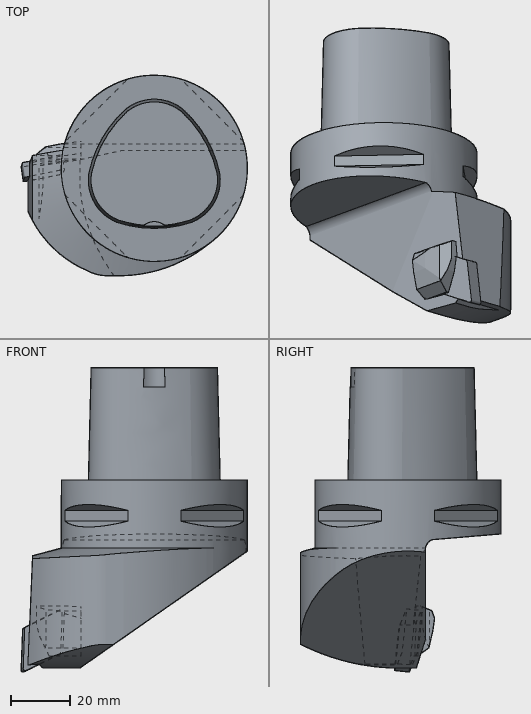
import cadquery as cq
import math


flange_radius = 63.0 / 2
flange_height = 23.1

shank_height = 37.9
shank_lean = 0.9
lobe_radius = 23.4
flat_radius = 20.34
joint_radius = 22.2
lobe_half_angle = 25.2
lobe_count = 3

notch_radius = 5.5
notch_depth = 6.5
notch_crest_y = -18.0

slot_count = 4
slot_floor_distance = 27.7
slot_floor_width = 3.6
slot_mouth_width = 7.6
slot_center_z = -12.2

head_left_x = -43.0
head_front_y = -36.4
head_back_y = 6.0
head_bottom_z = -63.7
shoulder_slope = math.tan(math.radians(15))
beyond = 61.8

insert_tip = (-45.1, 0.3, -65.5)
insert_side = 15.2
insert_lower_angle = 26.0
insert_upper_angle = 87.0
insert_thickness = 5.0
insert_corner_radius = 0.7

rake_rise_x = 0.15
rake_rise_z = 0.102
rake_point = (-41.1, 4.3, -26.1)

clamp_left_x = -39.9
clamp_right_x = -24.7


def polar(radius, degrees):
    angle = math.radians(degrees)
    return (radius * math.cos(angle), radius * math.sin(angle))


def rake_plane(origin):
    """Plane parallel to the rake face: local X runs right, local Y up, normal into the head."""
    return cq.Plane(origin=origin, xDir=(1, rake_rise_x, 0), normal=(rake_rise_x, -1, rake_rise_z))


def lobed_outline(workplane, lean):
    """Closed outline of three lobes and three flatter sides, drawn inward by lean."""
    joint = joint_radius - lean
    outline = workplane.moveTo(*polar(joint, 90 - lobe_half_angle))
    pitch = 360 / lobe_count
    for index in range(lobe_count):
        crown = 90 + index * pitch
        outline = outline.threePointArc(
            polar(lobe_radius - lean, crown), polar(joint, crown + lobe_half_angle)
        )
        outline = outline.threePointArc(
            polar(flat_radius - lean, crown + pitch / 2), polar(joint, crown + pitch - lobe_half_angle)
        )
    return outline.close()


def make_shank():
    foot = lobed_outline(cq.Workplane("XY"), 0)
    shank = lobed_outline(foot.workplane(offset=shank_height), shank_lean).loft(ruled=True, combine=True)
    notch = (
        cq.Workplane("XY", origin=(0, notch_crest_y - notch_radius, shank_height - notch_depth))
        .circle(notch_radius)
        .extrude(notch_depth)
    )
    return shank.cut(notch)


def make_slot(angle):
    """Straight gripper slot with sloping sides, cut square to the given direction."""
    depth = flange_radius - slot_floor_distance
    flare = (slot_mouth_width - slot_floor_width) / 2
    section = [
        (slot_floor_distance, -slot_floor_width / 2),
        (slot_floor_distance + 2 * depth, -slot_floor_width / 2 - 2 * flare),
        (slot_floor_distance + 2 * depth, slot_floor_width / 2 + 2 * flare),
        (slot_floor_distance, slot_floor_width / 2),
    ]
    return (
        cq.Workplane("XZ", origin=(0, 0, slot_center_z))
        .polyline(section)
        .close()
        .extrude(flange_radius, both=True)
        .rotate((0, 0, 0), (0, 0, 1), angle)
    )


def make_flange():
    flange = cq.Workplane("XY").circle(flange_radius).extrude(-flange_height)
    pitch = 360 / slot_count
    for index in range(slot_count):
        flange = flange.cut(make_slot((index + 0.5) * pitch))
    relief = (
        cq.Workplane("YZ")
        .moveTo(beyond, -18.3)
        .lineTo(flange_radius, -18.3)
        .lineTo(8.1, -20.3)
        .threePointArc((6.7, -21.4), (head_back_y, -flange_height))
        .lineTo(beyond, -flange_height)
        .close()
        .extrude(beyond, both=True)
    )
    return flange.cut(relief)


def head_plan():
    """Vertical-walled block bounded by the plan outline of the head."""
    right_x = math.sqrt(flange_radius**2 - head_back_y**2)
    rim_x = 20.0
    rim_y = -math.sqrt(flange_radius**2 - rim_x**2)
    return (
        cq.Workplane("XY")
        .moveTo(head_left_x, head_back_y)
        .lineTo(head_left_x, -14.0)
        .threePointArc((-34.9, -26.3), (-22.8, -34.6))
        .threePointArc((-19.8, -35.8), (-16.5, head_front_y))
        .lineTo(-10.4, head_front_y)
        .threePointArc((5.4, -33.2), (17.7, -26.2))
        .lineTo(rim_x, rim_y)
        .threePointArc(polar(flange_radius, -20), (right_x, head_back_y))
        .close()
        .extrude(-beyond * 2)
    )


def head_side():
    """Leaning left face, stepped lower corner and long slanted underside."""
    outline = [
        (-41.0, -flange_height + 2.1),
        (-42.7, -62.6),
        (-39.0, -62.3),
        (-37.7, head_bottom_z),
        (-25.1, head_bottom_z),
        (flange_radius, -24.1),
        (flange_radius, -flange_height + 2.1),
    ]
    return cq.Workplane("XZ").polyline(outline).close().extrude(beyond, both=True)


def head_shoulder():
    """Everything below the shoulder cone that widens from the flange rim."""
    outline = [
        (0, -flange_height),
        (flange_radius, -flange_height),
        (beyond, -flange_height - (beyond - flange_radius) * shoulder_slope),
        (beyond, -2 * beyond),
        (0, -2 * beyond),
    ]
    return cq.Workplane("XZ").polyline(outline).close().revolve(360, (0, 0), (0, 1))


def head_bottom():
    """Bottom face that curves upward toward the front wall."""
    return (
        cq.Workplane("YZ")
        .moveTo(head_back_y, 0)
        .lineTo(head_back_y, head_bottom_z)
        .lineTo(-6.2, head_bottom_z)
        .threePointArc((-22.7, -61.0), (head_front_y, -55.6))
        .lineTo(head_front_y, 0)
        .close()
        .extrude(beyond, both=True)
    )


def make_head():
    head = head_plan().intersect(head_side()).intersect(head_shoulder()).intersect(head_bottom())
    above_rake = cq.Workplane(rake_plane(rake_point)).rect(4 * beyond, 4 * beyond).extrude(-beyond)
    return head.cut(above_rake)


def make_clamp():
    """Sloped clamp on the rake face, bevelled at its left end and lower left corner."""
    profile = [
        (0.5, -42.6),
        (4.3, -42.6),
        (8.1, -44.3),
        (9.1, -46.9),
        (8.4, -51.2),
        (7.1, -56.9),
        (3.2, -59.6),
        (0.5, -59.6),
    ]
    plan = [
        (clamp_left_x, 0),
        (clamp_left_x, 4.7),
        (-36.7, 7.3),
        (-30.7, 8.4),
        (clamp_right_x, 9.1),
        (clamp_right_x, 0),
    ]
    face = [
        (clamp_left_x, -42.6),
        (clamp_left_x, -48.9),
        (-38.7, -53.0),
        (-35.5, -59.6),
        (clamp_right_x, -59.6),
        (clamp_right_x, -42.6),
    ]
    body = cq.Workplane("YZ").polyline(profile).close().extrude(beyond, both=True)
    ends = cq.Workplane("XY").polyline(plan).close().extrude(-2 * beyond)
    corner = cq.Workplane("XZ").polyline(face).close().extrude(beyond, both=True)
    return body.intersect(ends).intersect(corner)


def make_insert():
    """Rhombic plate lying along the rake face with its tip at the lower left."""
    right = polar(insert_side, insert_lower_angle)
    top = polar(insert_side, insert_upper_angle)
    far = (right[0] + top[0], right[1] + top[1])
    return (
        cq.Workplane(rake_plane(insert_tip))
        .polyline([(0, 0), right, far, top])
        .close()
        .extrude(insert_thickness)
        .edges(cq.selectors.ParallelDirSelector(rake_plane(insert_tip).zDir))
        .fillet(insert_corner_radius)
    )


insert = make_insert()
holder = make_flange().union(make_shank()).union(make_head()).union(make_clamp()).cut(insert)

result = cq.Compound.makeCompound([holder.val(), insert.val()])